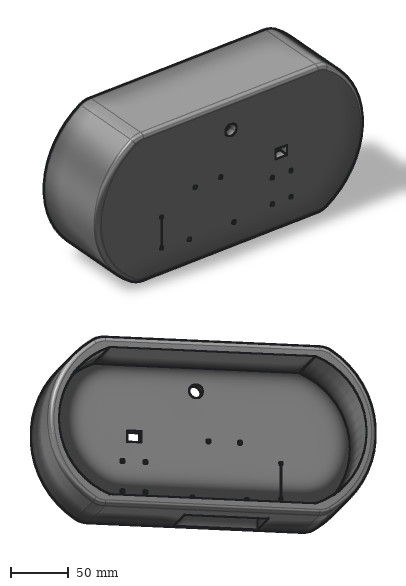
import cadquery as cq
import math

depth = 80.0
length = 290.0
height = 150.0
end_radius = 85.0
corner_radius = 20.3
rim_radius = 4.5

cavity_length = 271.7
cavity_height = 130.2
cavity_end_radius = 69.5
back_wall = 10.0

cable_hole_diameter = 12.0
cable_hole_z = 45.0
port_width = 12.5
port_height = 10.0
port_center = (54.5, 2.5)
screw_diameter = 3.5
upper_pair = [(y, 1.2) for y in (-11.0, -39.0)]
lower_pair = [(y, -49.3) for y in (3.2, -45.0)]
square_group = [(y, z) for y in (65.0, 44.7) for z in (-19.7, -46.5)]
slit_y = -75.0
slit_top_z = -15.7
slit_bottom_z = -47.0
slit_width = 1.0
slit_end_diameter = 3.0

window_depth = 45.0
window_width = 74.0
window_center_y = -17.5

front_x = -depth / 2
wall_x = depth / 2 - back_wall


def stadium(x, total_length, total_height, radius, x_length):
    """Prism along X with flat top and bottom and an arc at each end."""
    half_length = total_length / 2
    half_height = total_height / 2
    flat_end = half_length - radius + math.sqrt(radius**2 - half_height**2)
    return (
        cq.Workplane("YZ", origin=(x, 0, 0))
        .moveTo(-flat_end, half_height)
        .lineTo(flat_end, half_height)
        .threePointArc((half_length, 0), (flat_end, -half_height))
        .lineTo(-flat_end, -half_height)
        .threePointArc((-half_length, 0), (-flat_end, half_height))
        .close()
        .extrude(x_length)
    )


def back_wall_plane():
    return cq.Workplane("YZ", origin=(wall_x, 0, 0))


def round_holes(centers, diameter):
    return back_wall_plane().pushPoints(centers).circle(diameter / 2).extrude(back_wall)


def wall_rectangle(center, width, tall):
    return back_wall_plane().center(*center).rect(width, tall).extrude(back_wall)


body = stadium(front_x, length, height, end_radius, depth)
body = body.edges("|X").fillet(corner_radius)
body = body.faces("<X or >X").edges().fillet(rim_radius)

body = body.cut(stadium(front_x, cavity_length, cavity_height, cavity_end_radius, depth - back_wall))

body = body.cut(round_holes([(0, cable_hole_z)], cable_hole_diameter))
body = body.cut(wall_rectangle(port_center, port_width, port_height))
body = body.cut(round_holes(upper_pair + lower_pair + square_group, screw_diameter))

slit_center = (slit_y, (slit_top_z + slit_bottom_z) / 2)
body = body.cut(wall_rectangle(slit_center, slit_width, slit_top_z - slit_bottom_z))
body = body.cut(round_holes([(slit_y, slit_top_z), (slit_y, slit_bottom_z)], slit_end_diameter))

floor_thickness = (height - cavity_height) / 2
window = (
    cq.Workplane("XY", origin=(wall_x - window_depth / 2, window_center_y, -height / 2))
    .rect(window_depth, window_width)
    .extrude(floor_thickness)
)
result = body.cut(window)